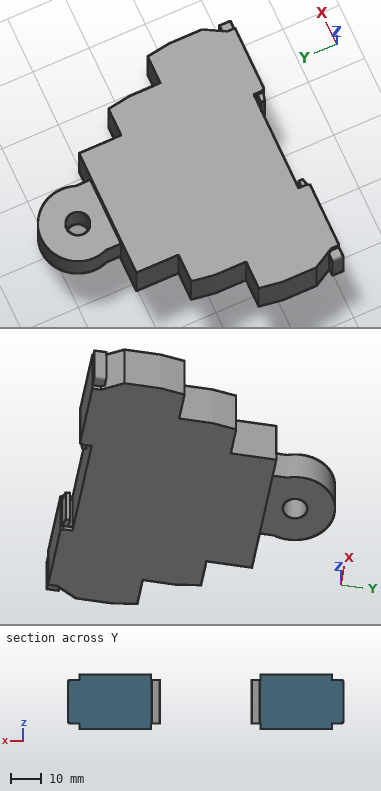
import cadquery as cq

thickness = 17.8
mid_z = thickness / 2
base_half = 45.0
base_shoulder_half = 43.8
foot_half = 41.0
middle_half = 33.8
middle_shoulder_half = 32.6
top_half = 22.6

foot_top_y = 2.8
base_corner_y = 9.9
base_bevel_y = 21.8
base_top_y = 29.9
middle_bevel_y = 40.9
middle_top_y = 48.9
body_top_y = 63.9

recess_depth = 3.9
recess_half = 17.7
mouth_bevel_width = 0.5
mouth_bevel_height = 1.0

lug_x = 1.6
lug_radius = 13.0
overall_y = 86.8
lug_y = overall_y - lug_radius
lug_hole_diameter = 8.0
lug_neck_width = 24.2
lug_thickness = 12.0

clip_width = 14.2
hook_tip_half = 14.85
hook_leg_thickness = 0.2
hook_top_y = 2.6
hook_tip_low_y = 1.2
hook_root_y = 0.4
clip_outer_half = 44.75
clip_bottom_y = 0.1
clip_top_y = 4.0
clip_edge_radius = 0.9


def extrude_centred(sketch, width):
    """Extrude an XY outline symmetrically about the middle of the housing."""
    return sketch.extrude(width / 2, both=True).translate((0, 0, mid_z))


def mirrored_pair(solid):
    """Join a solid with its mirror image across X = 0."""
    return solid.union(solid.mirror("YZ"))


def make_housing():
    right_side = [
        (recess_half, recess_depth),
        (recess_half, mouth_bevel_height),
        (recess_half + mouth_bevel_width, 0),
        (foot_half, 0),
        (foot_half, foot_top_y),
        (base_half, base_corner_y),
        (base_half, base_bevel_y),
        (base_shoulder_half, base_top_y),
        (middle_half, base_top_y),
        (middle_half, middle_bevel_y),
        (middle_shoulder_half, middle_top_y),
        (top_half, middle_top_y),
        (top_half, body_top_y),
    ]
    left_side = [(-x, y) for x, y in reversed(right_side)]
    return extrude_centred(cq.Workplane("XY").polyline(right_side + left_side).close(), thickness)


def make_lug():
    ring = extrude_centred(cq.Workplane("XY").center(lug_x, lug_y).circle(lug_radius), lug_thickness)
    neck_length = lug_y - body_top_y
    neck_y = body_top_y + neck_length / 2
    neck = extrude_centred(
        cq.Workplane("XY").center(lug_x, neck_y).rect(lug_neck_width, neck_length), lug_thickness
    )
    hole = extrude_centred(
        cq.Workplane("XY").center(lug_x, lug_y).circle(lug_hole_diameter / 2), lug_thickness
    )
    return ring.union(neck).cut(hole)


def make_hooks():
    """Hooks reaching into the recess from both side walls, each below a thin leg on the wall."""
    root_half = recess_half + mouth_bevel_width / 2
    leg_half = recess_half - hook_leg_thickness
    outline = [
        (root_half, recess_depth),
        (leg_half, recess_depth),
        (leg_half, hook_top_y),
        (hook_tip_half, hook_top_y),
        (hook_tip_half, hook_tip_low_y),
        (root_half, hook_root_y),
    ]
    return mirrored_pair(extrude_centred(cq.Workplane("XY").polyline(outline).close(), clip_width))


def make_outer_clips():
    """Blocks beside the feet, set slightly above the foot soles, with their outer end edges rounded."""
    length = clip_outer_half - foot_half
    height = clip_top_y - clip_bottom_y
    block = extrude_centred(
        cq.Workplane("XY").moveTo(foot_half, clip_bottom_y).rect(length, height, centered=False),
        clip_width,
    )
    return mirrored_pair(block.edges("|Y and >X").fillet(clip_edge_radius))


result = make_housing().union(make_lug()).union(make_hooks()).union(make_outer_clips())